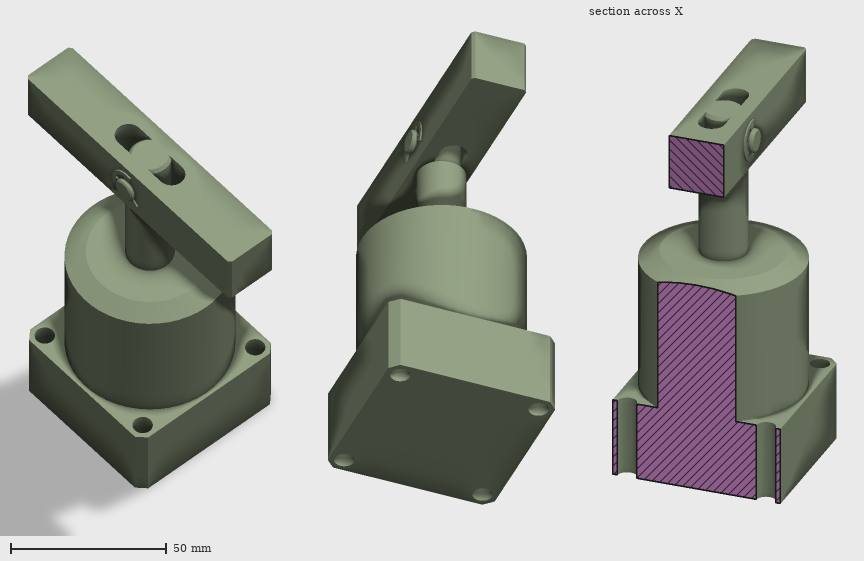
import cadquery as cq
import math

total_height = 126.0

base_side = 58.0
base_height = 27.0
base_corner = 3.0
bolt_spacing = 48.0
bolt_hole_diameter = 6.5
cylinder_diameter = 55.0
cylinder_top_diameter = 41.3
cone_start_z = 72.3
housing_top_z = 75.0

lever_length = 100.0
lever_side = 19.0
lever_corner = 1.0
slot_length = 30.0
slot_width = 9.0
lever_bottom_z = total_height - lever_side
pivot_z = total_height - lever_side / 2

rod_diameter = 16.0
rod_chamfer = 1.0
tongue_diameter = rod_diameter - 2 * rod_chamfer
shoulder_gap = 0.5
shoulder_z = lever_bottom_z - shoulder_gap
tongue_top_z = total_height

pin_diameter = 8.0
pin_length = 23.0
pin_chamfer = 0.5
groove_diameter = 6.9

clip_diameter = 14.0
clip_thickness = 0.5
clip_pocket_radius = 5.4
opening_half_angle = 59
pocket_start_angle = 87
pocket_end_angle = 150
front_clip_opening = 17
rear_clip_opening = -90


def make_housing():
    base = (
        cq.Workplane("XY")
        .rect(base_side, base_side)
        .extrude(base_height)
        .edges("|Z")
        .chamfer(base_corner)
    )
    cylinder = (
        cq.Workplane("XZ")
        .moveTo(0, 0)
        .lineTo(cylinder_diameter / 2, 0)
        .lineTo(cylinder_diameter / 2, cone_start_z)
        .lineTo(cylinder_top_diameter / 2, housing_top_z)
        .lineTo(0, housing_top_z)
        .close()
        .revolve(360, (0, 0), (0, 1))
    )
    bolt_holes = (
        cq.Workplane("XY")
        .rect(bolt_spacing, bolt_spacing, forConstruction=True)
        .vertices()
        .circle(bolt_hole_diameter / 2)
        .extrude(base_height)
    )
    return base.cut(bolt_holes).union(cylinder)


def cylinder_along_y(diameter, y_start, length):
    """Cylinder on the pivot axis, running from y_start toward +Y."""
    return (
        cq.Workplane("XZ", origin=(0, y_start, pivot_z))
        .circle(diameter / 2)
        .extrude(-length)
    )


def make_pivot_hole():
    return cylinder_along_y(pin_diameter, -lever_side / 2, lever_side)


def make_lever():
    bar = (
        cq.Workplane("XY", origin=(0, 0, lever_bottom_z))
        .rect(lever_length, lever_side)
        .extrude(lever_side)
        .edges("|Z")
        .chamfer(lever_corner)
    )
    slot = (
        cq.Workplane("XY", origin=(0, 0, lever_bottom_z))
        .slot2D(slot_length, slot_width)
        .extrude(lever_side)
    )
    return bar.cut(slot).cut(make_pivot_hole())


def make_rod():
    shaft = (
        cq.Workplane("XY", origin=(0, 0, housing_top_z))
        .circle(rod_diameter / 2)
        .extrude(shoulder_z - housing_top_z)
        .faces(">Z")
        .chamfer(rod_chamfer)
    )
    tongue_height = tongue_top_z - shoulder_z
    tongue = (
        cq.Workplane("XY", origin=(0, 0, shoulder_z))
        .circle(tongue_diameter / 2)
        .extrude(tongue_height)
        .faces(">Z")
        .chamfer(rod_chamfer)
    )
    flats = (
        cq.Workplane("XY", origin=(0, 0, shoulder_z))
        .rect(rod_diameter, slot_width)
        .extrude(tongue_height)
    )
    return shaft.union(tongue.intersect(flats)).cut(make_pivot_hole())


def make_pin():
    pin = (
        cylinder_along_y(pin_diameter, -pin_length / 2, pin_length)
        .faces("<Y or >Y")
        .chamfer(pin_chamfer)
    )
    for groove_y in (-lever_side / 2 - clip_thickness, lever_side / 2):
        groove = cylinder_along_y(pin_diameter, groove_y, clip_thickness).cut(
            cylinder_along_y(groove_diameter, groove_y, clip_thickness)
        )
        pin = pin.cut(groove)
    return pin


def polar(radius, angle):
    return (radius * math.cos(math.radians(angle)), radius * math.sin(math.radians(angle)))


def ring_sector(inner_radius, outer_radius, start_angle, end_angle, y_start):
    """Clip-thick ring sector around the pivot axis, running from y_start toward +Y."""
    middle_angle = (start_angle + end_angle) / 2
    return (
        cq.Workplane("XZ", origin=(0, y_start, pivot_z))
        .moveTo(*polar(inner_radius, start_angle))
        .lineTo(*polar(outer_radius, start_angle))
        .threePointArc(polar(outer_radius, middle_angle), polar(outer_radius, end_angle))
        .lineTo(*polar(inner_radius, end_angle))
        .threePointArc(polar(inner_radius, middle_angle), polar(inner_radius, start_angle))
        .close()
        .extrude(-clip_thickness)
    )


def make_clip(y_start, opening_direction):
    bore_radius = groove_diameter / 2
    clip = ring_sector(
        bore_radius,
        clip_diameter / 2,
        opening_direction + opening_half_angle,
        opening_direction + 360 - opening_half_angle,
        y_start,
    )
    for pocket_start in (pocket_start_angle, 360 - pocket_end_angle):
        first_angle = opening_direction + pocket_start
        last_angle = first_angle + pocket_end_angle - pocket_start_angle
        clip = clip.cut(ring_sector(bore_radius, clip_pocket_radius, first_angle, last_angle, y_start))
    return clip


housing = make_housing()
lever = make_lever()
rod = make_rod()
pin = make_pin()

clip_placements = [
    (-lever_side / 2 - clip_thickness, front_clip_opening),
    (lever_side / 2, rear_clip_opening),
]
clips = [make_clip(y_start, opening).val() for y_start, opening in clip_placements]

result = cq.Compound.makeCompound([housing.val(), lever.val(), rod.val(), pin.val(), *clips])